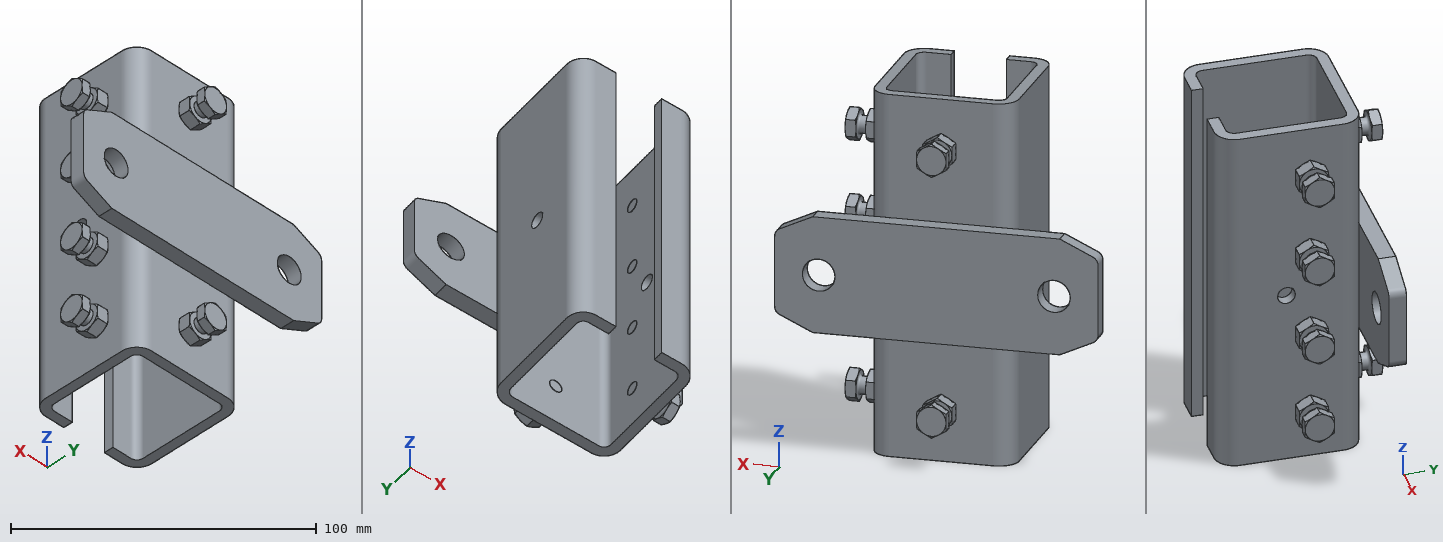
import cadquery as cq
import math

channel_length = 125.0
channel_width = 49.0
wall = 4.0
outer_radius = 6.9
inner_radius = outer_radius - wall
slot_width = 18.8

plate_width = 110.0
plate_height = 40.0
plate_thickness = 6.0
plate_cut_x = 13.0
plate_cut_z = 6.0
plate_corner_radius = 3.0
plate_hole_spacing = 80.0
plate_hole_diameter = 11.0

cross_hole_diameter = 6.0
cross_hole_y = -26.2

hex_flats = 10.0
hex_corners = hex_flats / math.cos(math.radians(30))
hex_bevel_angle = math.radians(20)
nut_height = 5.0
head_height = 3.8
screw_height = 12.0
shank_diameter = 6.0
neck_fillet = 0.8
tip_diameter = 5.0
tip_recess = 0.1
screw_pitch = 30.0
side_screw_y = -18.2
side_screw_heights = [screw_pitch * step for step in (-1.5, -0.5, 0.5, 1.5)]
rear_screw_heights = [side_screw_heights[0], side_screw_heights[-1]]


def make_channel():
    cavity_width = channel_width - 2 * wall
    outside = (
        cq.Workplane("XY")
        .box(channel_width, channel_width, channel_length)
        .edges("|Z")
        .fillet(outer_radius)
    )
    cavity = (
        cq.Workplane("XY")
        .box(cavity_width, cavity_width, channel_length)
        .edges("|Z")
        .fillet(inner_radius)
    )
    slot = cq.Workplane("XY").box(slot_width, channel_width / 2, channel_length)
    slot = slot.translate((0, -channel_width / 2, 0))
    return outside.cut(cavity).cut(slot).translate((0, -channel_width / 2, 0))


def make_plate():
    half_width = plate_width / 2
    half_height = plate_height / 2
    outline = [
        (half_width, half_height - plate_cut_z),
        (half_width - plate_cut_x, half_height),
        (plate_cut_x - half_width, half_height),
        (-half_width, half_height - plate_cut_z),
        (-half_width, plate_cut_z - half_height),
        (plate_cut_x - half_width, -half_height),
        (half_width - plate_cut_x, -half_height),
        (half_width, plate_cut_z - half_height),
    ]
    plate = cq.Workplane("XZ").polyline(outline).close().extrude(-plate_thickness)
    end_edges = plate.faces("<X or >X").edges("|Y")
    plate = end_edges.fillet(plate_corner_radius)
    holes = (
        cq.Workplane("XZ")
        .pushPoints([(-plate_hole_spacing / 2, 0), (plate_hole_spacing / 2, 0)])
        .circle(plate_hole_diameter / 2)
        .extrude(-plate_thickness)
    )
    return plate.cut(holes)


def make_hexagon(height):
    """Hexagon along +Z with corners on the X axis, its corners bevelled at both ends."""
    bevel_width = (hex_corners - hex_flats) / 2
    bevel_height = bevel_width * math.tan(hex_bevel_angle)
    envelope = (
        cq.Workplane("XZ")
        .polyline([
            (0, 0),
            (hex_flats / 2, 0),
            (hex_corners / 2, bevel_height),
            (hex_corners / 2, height - bevel_height),
            (hex_flats / 2, height),
            (0, height),
        ])
        .close()
        .revolve(360, (0, 0), (0, 1))
    )
    return cq.Workplane("XY").polygon(6, hex_corners).extrude(height).intersect(envelope)


def make_screw():
    """Screw along +Z, standing on a wall face at Z = 0, with a fillet under its head."""
    head_base = screw_height - head_height
    shank_radius = shank_diameter / 2
    shank = (
        cq.Workplane("XZ")
        .lineTo(shank_radius, 0)
        .lineTo(shank_radius, head_base - neck_fillet)
        .radiusArc((shank_radius + neck_fillet, head_base), neck_fillet)
        .lineTo(0, head_base)
        .close()
        .revolve(360, (0, 0), (0, 1))
    )
    head = make_hexagon(head_height).translate((0, 0, head_base))
    return make_hexagon(nut_height).union(shank).union(head)


def make_tip_recess():
    """Shallow round recess where the screw tip meets the inner wall face."""
    return (
        cq.Workplane("XY")
        .workplane(offset=-wall)
        .circle(tip_diameter / 2)
        .extrude(tip_recess)
    )


def place_on_side(body, height):
    turned = body.rotate((0, 0, 0), (0, 1, 0), 90)
    return turned.translate((channel_width / 2, side_screw_y, height))


def place_on_rear(body, height):
    turned = body.rotate((0, 0, 0), (0, 0, 1), 90).rotate((0, 0, 0), (1, 0, 0), -90)
    return turned.translate((0, 0, height))


cross_hole = (
    cq.Workplane("YZ")
    .center(cross_hole_y, 0)
    .circle(cross_hole_diameter / 2)
    .extrude(channel_width / 2, both=True)
)

result = make_channel().union(make_plate()).cut(cross_hole)

screw = make_screw()
recess = make_tip_recess()
for height in side_screw_heights:
    result = result.union(place_on_side(screw, height)).cut(place_on_side(recess, height))
for height in rear_screw_heights:
    result = result.union(place_on_rear(screw, height)).cut(place_on_rear(recess, height))